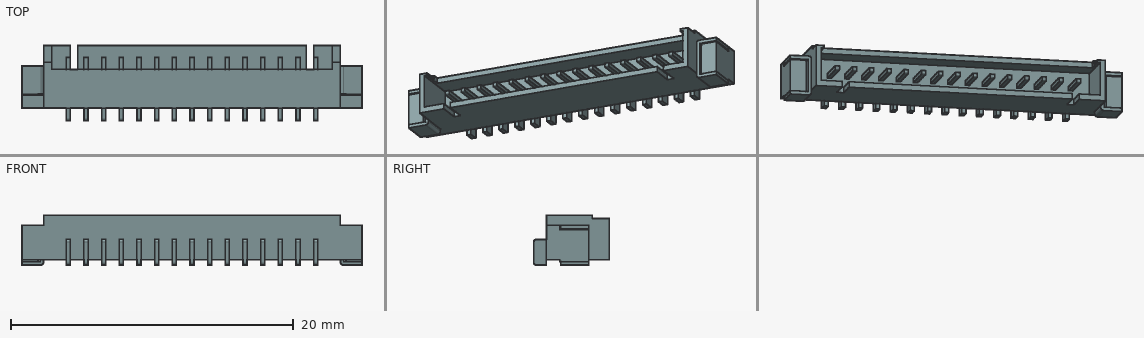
import cadquery as cq


total_length = 24.08
total_height = 3.53
body_length = 21.0
body_depth = 4.45
wing_depth = 3.0
wing_top = 2.83
board_clearance = 0.36

front_wall = 1.0
roof_depth = 2.75
floor_thickness = 0.4
ceiling_thickness = 0.4
side_wall = 0.38
rim_overhang = 0.2
rim_step_depth = 1.19
rim_step_height = 0.22
floor_slot_width = 0.5
floor_slot_outer_x = 8.6

contact_count = 15
contact_pitch = 1.25
contact_width = 0.3
contact_height = 0.3
contact_tip_y = 3.59
contact_tip_rounding = 0.07
tail_height = 1.81
tail_reach = 0.9
tail_rounding = 0.16

nail_thickness = 0.25
nail_bend_radius = 0.2
nail_front_y = 1.0
slot_clearance = 0.07
web_slit_width = 0.38

slot_front_y = nail_front_y - slot_clearance
cavity_half_width = body_length / 2 - side_wall
cavity_floor = board_clearance + floor_thickness
cavity_ceiling = total_height - ceiling_thickness
contact_axis_z = (cavity_floor + cavity_ceiling) / 2
opening_half_width = cavity_half_width - rim_overhang


def block(x_range, y_range, z_range):
    """Axis-aligned box between the given pairs of coordinates."""
    sizes = [high - low for low, high in (x_range, y_range, z_range)]
    corner = (x_range[0], y_range[0], z_range[0])
    return cq.Workplane("XY").box(*sizes, centered=False).translate(corner)


def mirrored_pair(shape):
    """The shape on the +X side together with its mirror image on the -X side."""
    return shape.union(shape.mirror("YZ"))


def housing_shell():
    """Body with a wing at each end, hollowed from the back."""
    body = block(
        (-body_length / 2, body_length / 2),
        (0, body_depth),
        (board_clearance, total_height),
    )
    wings = block(
        (-total_length / 2, total_length / 2),
        (0, wing_depth),
        (board_clearance, wing_top),
    )
    cavity = block(
        (-cavity_half_width, cavity_half_width),
        (front_wall, body_depth),
        (cavity_floor, cavity_ceiling),
    )
    roof_opening = block(
        (-opening_half_width, opening_half_width),
        (roof_depth, body_depth),
        (cavity_floor, total_height),
    )
    return body.union(wings).cut(cavity).cut(roof_opening)


def rim_steps():
    """Lowered back ends of the two side walls."""
    step = block(
        (opening_half_width, body_length / 2),
        (body_depth - rim_step_depth, body_depth),
        (total_height - rim_step_height, total_height),
    )
    return mirrored_pair(step)


def floor_slots():
    """Two slots that cut the floor's back part off from its corners."""
    slot = block(
        (floor_slot_outer_x - floor_slot_width, floor_slot_outer_x),
        (roof_depth, body_depth),
        (board_clearance, cavity_floor),
    )
    return mirrored_pair(slot)


def contact():
    """Contact blade through the front wall with an upright solder tail in front of it."""
    half_width = contact_width / 2
    blade = block(
        (-half_width, half_width),
        (0, contact_tip_y),
        (contact_axis_z - contact_height / 2, contact_axis_z + contact_height / 2),
    )
    blade = blade.faces(">Y").edges("|X").fillet(contact_tip_rounding)
    tail = block(
        (-half_width, half_width),
        (-tail_reach, 0),
        (0, tail_height),
    )
    tail = tail.faces("<Y").edges("|X").fillet(tail_rounding)
    return blade.union(tail)


def nail_slot():
    """Room for a nail in the +X wing: a ledge under its upper leg and a slit for its web."""
    inner_x = body_length / 2
    y_range = (slot_front_y, wing_depth)
    ledge = block(
        (inner_x, total_length / 2),
        y_range,
        (wing_top - nail_thickness - slot_clearance, wing_top),
    )
    slit = block(
        (inner_x, inner_x + web_slit_width),
        y_range,
        (board_clearance, wing_top),
    )
    return ledge.union(slit)


def nail_seat():
    """Pad under the +X wing that reaches down to the nail's lower leg."""
    return block(
        (body_length / 2 + web_slit_width, total_length / 2),
        (slot_front_y, wing_depth),
        (nail_thickness, board_clearance),
    )


def fitting_nail():
    """Nail of the +X wing: a channel whose web lies against the body and whose legs point outward."""
    inner_x = body_length / 2
    web_face_x = inner_x + nail_thickness
    y_range = (nail_front_y, wing_depth)
    sheet = block((inner_x, total_length / 2), y_range, (0, wing_top))
    sheet = sheet.edges("<X and |Y").fillet(nail_bend_radius)
    inside = block(
        (web_face_x, total_length / 2),
        y_range,
        (nail_thickness, wing_top - nail_thickness),
    )
    return sheet.cut(inside)


housing = housing_shell().cut(rim_steps()).cut(floor_slots())
housing = housing.cut(mirrored_pair(nail_slot())).union(mirrored_pair(nail_seat()))
first_contact_x = -(contact_count - 1) / 2 * contact_pitch
for index in range(contact_count):
    housing = housing.union(contact().translate((first_contact_x + index * contact_pitch, 0, 0)))

right_nail = fitting_nail()
left_nail = right_nail.mirror("YZ")

result = cq.Compound.makeCompound([housing.val(), right_nail.val(), left_nail.val()])